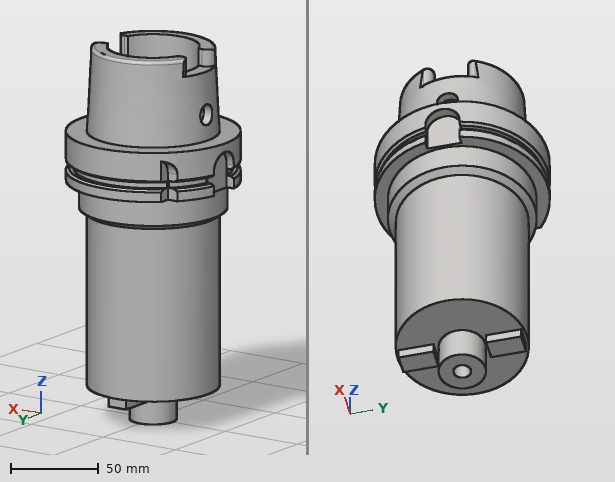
import cadquery as cq
import math

shank_length = 50.0
flange_bottom = -29.0
collar_bottom = -45.0
body_bottom = -150.0
pilot_bottom = -170.0

shank_base_diameter = 76.0
shank_tip_diameter = 71.0
shank_edge_radius = 2.0
flange_diameter = 100.0
collar_diameter = 85.0
collar_chamfer_height = 3.0
body_diameter = 76.0
pilot_diameter = 27.0

groove_top = -16.7
groove_bottom = -23.2
groove_diameter = 91.2
groove_lip_width = 1.9
groove_lip_height = 1.3

mouth_diameter = 53.0
undercut_diameter = 63.0
undercut_top = 30.0
cavity_floor = 8.5
tube_hole_diameter = 24.5
tube_hole_depth = 20.0
through_hole_diameter = 10.0
through_hole_mouth_diameter = 12.0

cross_hole_diameter = 12.0
cross_hole_height = 15.0

drive_notch_width = 20.0
drive_notch_shoulder = 32.0
drive_notch_corner_radius = 5.0
shallow_notch_depth = 10.0
deep_notch_depth = 15.0

slot_top = -5.0
slot_width = 20.0
slot_floor_distance = 44.0
orientation_notch_floor = 32.0
orientation_notch_radius = 8.0
orientation_notch_side = 31.7

key_width = 12.0
key_height = 6.0
key_inner = 15.5
key_outer = 36.0


def revolve(points):
    """Solid of revolution about Z from (radius, height) points."""
    return cq.Workplane("XZ").polyline(points).close().revolve(360, (0, 0, 0), (0, 1, 0))


def box_between(x_range, y_range, z_range):
    """Box spanning the given ranges."""
    sizes = [high - low for low, high in (x_range, y_range, z_range)]
    corner = (x_range[0], y_range[0], z_range[0])
    return cq.Workplane("XY").box(*sizes, centered=False).translate(corner)


def make_shank():
    shank = (
        cq.Workplane("XY")
        .circle(shank_base_diameter / 2)
        .workplane(offset=shank_length)
        .circle(shank_tip_diameter / 2)
        .loft(ruled=True)
    )
    return shank.faces(">Z").edges().fillet(shank_edge_radius)


def make_lower_body():
    flange_r = flange_diameter / 2
    groove_r = groove_diameter / 2
    lip_r = flange_r - groove_lip_width
    collar_r = collar_diameter / 2
    body_r = body_diameter / 2
    pilot_r = pilot_diameter / 2
    return revolve([
        (0, 0),
        (flange_r, 0),
        (flange_r, groove_top),
        (lip_r, groove_top - groove_lip_height),
        (groove_r, groove_top - groove_lip_height),
        (groove_r, groove_bottom + groove_lip_height),
        (lip_r, groove_bottom + groove_lip_height),
        (flange_r, groove_bottom),
        (flange_r, flange_bottom),
        (collar_r, flange_bottom),
        (collar_r, collar_bottom),
        (body_r, collar_bottom - collar_chamfer_height),
        (body_r, body_bottom),
        (pilot_r, body_bottom),
        (pilot_r, pilot_bottom),
        (0, pilot_bottom),
    ])


def make_cavity():
    mouth_r = mouth_diameter / 2
    undercut_r = undercut_diameter / 2
    tube_r = tube_hole_diameter / 2
    through_r = through_hole_diameter / 2
    countersink_r = through_hole_mouth_diameter / 2
    tube_floor = cavity_floor - tube_hole_depth
    return revolve([
        (0, shank_length),
        (mouth_r, shank_length),
        (mouth_r, undercut_top),
        (undercut_r, undercut_top),
        (undercut_r, cavity_floor),
        (tube_r, cavity_floor),
        (tube_r, tube_floor),
        (countersink_r, tube_floor),
        (through_r, tube_floor - (countersink_r - through_r)),
        (through_r, pilot_bottom),
        (0, pilot_bottom),
    ])


def make_cross_hole():
    return (
        cq.Workplane("YZ")
        .center(0, cross_hole_height)
        .circle(cross_hole_diameter / 2)
        .extrude(flange_diameter / 2, both=True)
    )


def make_drive_notch(direction, depth):
    """Notch on the side given by direction (-1 or +1 along X), flared round its outer corners."""
    half_width = drive_notch_width / 2
    reach = shank_base_diameter / 2 + 1
    radius = drive_notch_corner_radius
    arc_start = drive_notch_shoulder - radius
    arc_inset = radius * (1 - math.sqrt(0.5))
    arc_mid = (drive_notch_shoulder - arc_inset, half_width + arc_inset)
    upper = (
        cq.Workplane("XY")
        .workplane(offset=shank_length - depth)
        .lineTo(0, half_width)
        .lineTo(arc_start, half_width)
        .threePointArc(arc_mid, (drive_notch_shoulder, half_width + radius))
        .lineTo(drive_notch_shoulder, reach)
        .lineTo(reach, reach)
        .lineTo(reach, 0)
        .close()
        .extrude(depth)
    )
    notch = upper.union(upper.mirror("XZ"))
    return notch if direction > 0 else notch.mirror("YZ")


def make_flange_slot(center_y, width, floor_x):
    """Round-topped slot, open at the flange underside, cut from the -X side in to X = -floor_x."""
    radius = width / 2
    arc_center = slot_top - radius
    return (
        cq.Workplane("YZ")
        .workplane(offset=-flange_diameter / 2)
        .moveTo(center_y - radius, flange_bottom)
        .lineTo(center_y - radius, arc_center)
        .threePointArc((center_y, slot_top), (center_y + radius, arc_center))
        .lineTo(center_y + radius, flange_bottom)
        .close()
        .extrude(flange_diameter / 2 - floor_x)
    )


def make_key(direction):
    """Driving key under the body, on the side given by direction (-1 or +1 along Y)."""
    y_range = sorted((direction * key_inner, direction * key_outer))
    return box_between(
        (-key_width / 2, key_width / 2), y_range, (body_bottom - key_height, body_bottom)
    )


result = make_lower_body().union(make_shank())
for side in (-1, 1):
    result = result.union(make_key(side))

result = result.cut(make_cavity()).cut(make_cross_hole())
result = result.cut(make_drive_notch(-1, shallow_notch_depth))
result = result.cut(make_drive_notch(1, deep_notch_depth))

gripper_slot = make_flange_slot(0, slot_width, slot_floor_distance)
result = result.cut(gripper_slot).cut(gripper_slot.mirror("YZ"))
orientation_notch = make_flange_slot(
    orientation_notch_side + orientation_notch_radius,
    2 * orientation_notch_radius,
    orientation_notch_floor,
)
result = result.cut(orientation_notch)